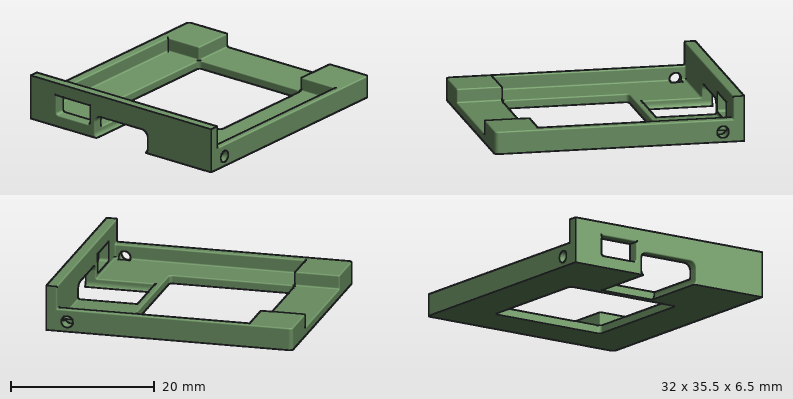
import cadquery as cq
WIDTH = 32.0
LENGTH = 35.5
HEIGHT = 6.5

BEZEL_THICKNESS = 1.55
FRAME_HEIGHT = 3.2
FLOOR_HEIGHT = 1.2
LEFT_RAIL = 1.5
RIGHT_RAIL = 1.0
EDGE_RADIUS = 0.2
FOOT_RADIUS = 0.2
BEZEL_FOOT_RADIUS = 0.195
REAR_CORNER_RADIUS = 0.57

WINDOW_SIDE = 18.0
WINDOW_FRONT = 11.0
WINDOW_CORNER_RADIUS = 0.5
BLOCK_FRONT = WINDOW_FRONT + WINDOW_SIDE

CONNECTOR_WIDTH = 9.3
CONNECTOR_TOP = 3.3
CONNECTOR_BOTTOM = -0.25
CONNECTOR_RADIUS = 1.0
CONNECTOR_END = 10.0

SLOT_WIDTH = 5.9
SLOT_LEFT = -WIDTH / 2 + 4.55
SLOT_BOTTOM = 1.7
SLOT_TOP = 4.58
SLOT_CORNER_RADIUS = 0.4

PIN_DIAMETER = 1.67
PIN_DEPTH = 2.0
PIN_Y = 3.0
PIN_Z = 1.45

TOLERANCE = 0.005

LEFT = -WIDTH / 2
RIGHT = WIDTH / 2
WINDOW_HALF = WINDOW_SIDE / 2


def box(x0, x1, y0, y1, z0, z1):
    """Box from its limits along X, Y and Z."""
    return cq.Workplane("XY").box(x1 - x0, y1 - y0, z1 - z0, centered=False).translate((x0, y0, z0))


def within(x0, x1, y0, y1, z0, z1):
    """Selector for edges or faces whose centre lies inside the limits, widened by TOLERANCE."""
    low = (x0 - TOLERANCE, y0 - TOLERANCE, z0 - TOLERANCE)
    high = (x1 + TOLERANCE, y1 + TOLERANCE, z1 + TOLERANCE)
    return cq.selectors.BoxSelector(low, high)


def make_tray():
    """L-shaped side profile, hollowed between the rails and between the rear blocks."""
    profile = [
        (0, 0),
        (LENGTH, 0),
        (LENGTH, FRAME_HEIGHT),
        (BEZEL_THICKNESS, FRAME_HEIGHT),
        (BEZEL_THICKNESS, HEIGHT),
        (0, HEIGHT),
    ]
    tray = cq.Workplane("YZ").polyline(profile).close().extrude(WIDTH / 2, both=True)
    rear_corners = within(LEFT, RIGHT, LENGTH, LENGTH, 0, FRAME_HEIGHT)
    tray = tray.edges("|Z").edges(rear_corners).fillet(REAR_CORNER_RADIUS)

    cavity_left = LEFT + LEFT_RAIL
    cavity_right = RIGHT - RIGHT_RAIL
    cavity = box(cavity_left, cavity_right, BEZEL_THICKNESS, BLOCK_FRONT, FLOOR_HEIGHT, FRAME_HEIGHT)
    gap = box(-WINDOW_HALF, WINDOW_HALF, BLOCK_FRONT, LENGTH, FLOOR_HEIGHT, FRAME_HEIGHT)
    return tray.cut(cavity.union(gap))


def soften_edges(tray):
    """Round the block corners, the foot of the cavity walls and the upper edges of frame and bezel."""
    block_corners = within(-WINDOW_HALF, WINDOW_HALF, BLOCK_FRONT, BLOCK_FRONT, FLOOR_HEIGHT, FRAME_HEIGHT)
    tray = tray.edges("|Z").edges(block_corners).fillet(EDGE_RADIUS)

    floor_face = within(LEFT, RIGHT, 0, LENGTH, FLOOR_HEIGHT, FLOOR_HEIGHT)
    floor_feet = within(LEFT, RIGHT, 0, LENGTH - FOOT_RADIUS, FLOOR_HEIGHT, FLOOR_HEIGHT)
    tray = tray.faces(floor_face).edges(floor_feet).fillet(FOOT_RADIUS)

    frame_top = within(LEFT, RIGHT, BEZEL_THICKNESS, LENGTH, FRAME_HEIGHT, FRAME_HEIGHT)
    behind_bezel = within(LEFT, RIGHT, BEZEL_THICKNESS + EDGE_RADIUS, LENGTH, FRAME_HEIGHT, FRAME_HEIGHT)
    bezel_back = within(LEFT, RIGHT, BEZEL_THICKNESS, BEZEL_THICKNESS, FLOOR_HEIGHT, HEIGHT)
    rear_gap = within(-WINDOW_HALF, WINDOW_HALF, LENGTH, LENGTH, FLOOR_HEIGHT, FRAME_HEIGHT - EDGE_RADIUS)
    upper_edges = tray.faces(frame_top).edges(behind_bezel)
    upper_edges = upper_edges.add(tray.faces(bezel_back).edges(">Z or <X or >X"))
    upper_edges = upper_edges.add(tray.faces(">Y").edges(rear_gap))
    tray = upper_edges.fillet(EDGE_RADIUS)

    bezel_feet = within(LEFT, RIGHT, BEZEL_THICKNESS, BEZEL_THICKNESS, FRAME_HEIGHT, FRAME_HEIGHT)
    return tray.edges("|X").edges(bezel_feet).fillet(BEZEL_FOOT_RADIUS)


def make_window():
    """Cutter for the window: a round-cornered square that flares out at the floor surface."""
    opening = box(-WINDOW_HALF, WINDOW_HALF, WINDOW_FRONT, BLOCK_FRONT, 0, FLOOR_HEIGHT)
    opening = opening.edges("|Z").fillet(WINDOW_CORNER_RADIUS)
    slab = box(LEFT, RIGHT, 0, LENGTH, 0, FLOOR_HEIGHT)
    rim = within(-WINDOW_HALF, WINDOW_HALF, WINDOW_FRONT, BLOCK_FRONT, FLOOR_HEIGHT, FLOOR_HEIGHT)
    pierced_slab = slab.cut(opening).edges(rim).fillet(EDGE_RADIUS)
    return slab.cut(pierced_slab)


def cut_connector(part):
    """Round-cornered channel through bezel and floor, with softened mouth and rim."""
    half_width = CONNECTOR_WIDTH / 2
    channel = box(-half_width, half_width, 0, CONNECTOR_END, CONNECTOR_BOTTOM, CONNECTOR_TOP)
    channel = channel.edges("|Y").fillet(CONNECTOR_RADIUS)
    part = part.cut(channel)
    mouth = within(-half_width, half_width, 0, 0, TOLERANCE * 2, CONNECTOR_TOP)
    rim = within(-half_width, half_width, BEZEL_THICKNESS, CONNECTOR_END, FLOOR_HEIGHT, FLOOR_HEIGHT)
    part = part.edges(mouth).fillet(EDGE_RADIUS)
    return part.edges(rim).fillet(EDGE_RADIUS)


def cut_slot(part):
    """Slot through the bezel with round lower corners and a softened front mouth."""
    slot = box(SLOT_LEFT, SLOT_LEFT + SLOT_WIDTH, 0, BEZEL_THICKNESS, SLOT_BOTTOM, SLOT_TOP)
    slot = slot.edges("|Y and <Z").fillet(SLOT_CORNER_RADIUS)
    part = part.cut(slot)
    mouth = within(SLOT_LEFT, SLOT_LEFT + SLOT_WIDTH, 0, 0, SLOT_BOTTOM, SLOT_TOP)
    return part.edges(mouth).fillet(EDGE_RADIUS)


def make_pin_holes():
    """Cutter for the blind pin holes, one from each side."""
    hole = cq.Workplane("YZ").center(PIN_Y, PIN_Z).circle(PIN_DIAMETER / 2).extrude(PIN_DEPTH)
    left_hole = hole.translate((LEFT, 0, 0))
    right_hole = hole.translate((RIGHT - PIN_DEPTH, 0, 0))
    return left_hole.union(right_hole)


result = soften_edges(make_tray())
result = result.cut(make_window())
result = cut_slot(result)
result = cut_connector(result)
result = result.cut(make_pin_holes())